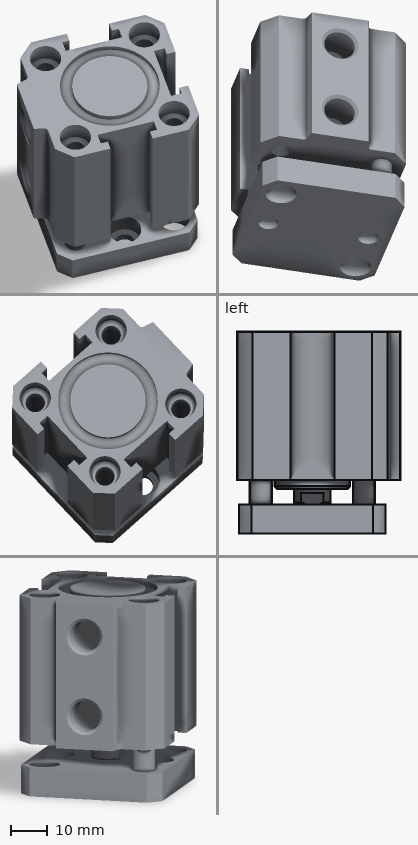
import cadquery as cq
import math

total_height = 55.0
plate_thickness = 8.0
housing_bottom = 14.6
housing_height = total_height - housing_bottom
corner_hole_offset = 14.0

housing_width = 41.0
housing_half = housing_width / 2
housing_corner_chamfer = 4.25
overall_depth = 44.5
rib_front_y = housing_half - overall_depth
rib_face_width = 16.0
rib_flank_angle = 15.0
rib_root_radius = 1.0

slot_opening_width = 12.0
slot_inner_width = 16.0
slot_lip_thickness = 2.5
slot_depth = 5.5

mount_hole_diameter = 5.3
mount_counterbore_diameter = 8.5
mount_counterbore_depth = 5.5
port_diameter = 8.6
port_mouth_diameter = 10.2
port_depth = 10.0
port_spacing = 22.15
port_middle_z = housing_bottom + housing_height / 2

cover_recess_diameter = 27.1
cover_recess_depth = 1.5
collar_diameter = 20.5
boss_height = 2.5
boss_chamfer = 0.8
boss_bottom = housing_bottom - boss_height

plate_width = 40.0
plate_corner_chamfer = 3.4
plate_corner_hole_diameter = 8.5
side_hole_offset = 14.0
side_hole_diameter = 5.5
side_counterbore_diameter = 9.0
side_counterbore_depth = 5.7
guide_pin_diameter = 6.0
rod_diameter = 10.0
rod_end_chamfer = 0.5
rod_flats_width = 8.0
rod_flats_top = 11.0

pin_corners = [(-corner_hole_offset, corner_hole_offset), (corner_hole_offset, -corner_hole_offset)]
access_corners = [(-corner_hole_offset, -corner_hole_offset), (corner_hole_offset, corner_hole_offset)]


def cylinder(diameter, bottom, height, centres=((0, 0),)):
    """Upright cylinders of one size at the given XY centres."""
    return (
        cq.Workplane("XY", origin=(0, 0, bottom))
        .pushPoints(centres)
        .circle(diameter / 2)
        .extrude(height)
    )


def chamfered_square(width, chamfer, bottom, height):
    """Square block with its four upright edges chamfered."""
    return (
        cq.Workplane("XY", origin=(0, 0, bottom))
        .rect(width, width)
        .extrude(height)
        .edges("|Z")
        .chamfer(chamfer)
    )


def port_rib():
    """Tapered rib on the -Y face, with rounded roots where it leaves the housing."""
    angle = math.radians(rib_flank_angle)
    face_half = rib_face_width / 2
    face_y = -housing_half
    sharp_x = face_half + (face_y - rib_front_y) * math.tan(angle)
    arc_turn = math.pi / 2 - angle
    centre_x = sharp_x + rib_root_radius * math.tan(arc_turn / 2)
    centre_y = face_y - rib_root_radius

    def arc_point(direction):
        return (
            centre_x + rib_root_radius * math.cos(direction),
            centre_y + rib_root_radius * math.sin(direction),
        )

    arc_end = arc_point(math.pi - angle)
    arc_middle = arc_point(math.pi - angle - arc_turn / 2)
    half_rib = (
        cq.Workplane("XY", origin=(0, 0, housing_bottom))
        .moveTo(0, 0)
        .lineTo(0, rib_front_y)
        .lineTo(face_half, rib_front_y)
        .lineTo(*arc_end)
        .threePointArc(arc_middle, (centre_x, face_y))
        .lineTo(centre_x, 0)
        .close()
        .extrude(housing_height)
    )
    return half_rib.union(half_rib.mirror("YZ"))


def t_slot():
    """Full-height cutter for the T-slot on the +Y side."""
    slot_floor = housing_half - slot_depth
    inner_depth = slot_depth - slot_lip_thickness
    base = cq.Workplane("XY", origin=(0, slot_floor, housing_bottom))
    opening = base.rect(slot_opening_width, 2 * slot_depth).extrude(housing_height)
    inner = base.rect(slot_inner_width, 2 * inner_depth).extrude(housing_height)
    inward_half = (
        base.center(0, -slot_depth)
        .rect(housing_width, 2 * slot_depth)
        .extrude(housing_height)
    )
    return opening.union(inner).cut(inward_half)


def port(z):
    """Cutter for a port with a 45-degree countersunk mouth in the rib face."""
    mouth_depth = (port_mouth_diameter - port_diameter) / 2
    return (
        cq.Workplane("XY")
        .moveTo(0, 0)
        .lineTo(port_mouth_diameter / 2, 0)
        .lineTo(port_diameter / 2, mouth_depth)
        .lineTo(port_diameter / 2, port_depth)
        .lineTo(0, port_depth)
        .close()
        .revolve(360, (0, 0, 0), (0, 1, 0))
        .translate((0, rib_front_y, z))
    )


def make_housing():
    """Cylinder housing with port rib, T-slots, mounting holes, head cover and boss."""
    body = chamfered_square(housing_width, housing_corner_chamfer, housing_bottom, housing_height)
    body = body.union(port_rib())

    for turn in (0, 90, -90):
        body = body.cut(t_slot().rotate((0, 0, 0), (0, 0, 1), turn))

    corners = pin_corners + access_corners
    body = body.cut(cylinder(mount_hole_diameter, housing_bottom, housing_height, corners))
    counterbore_floor = total_height - mount_counterbore_depth
    body = body.cut(
        cylinder(mount_counterbore_diameter, counterbore_floor, mount_counterbore_depth, corners)
    )

    for side in (-1, 1):
        body = body.cut(port(port_middle_z + side * port_spacing / 2))

    recess_floor = total_height - cover_recess_depth
    recess = cylinder(cover_recess_diameter, recess_floor, cover_recess_depth)
    cover = cylinder(collar_diameter, recess_floor, cover_recess_depth)
    body = body.cut(recess.cut(cover))

    boss = cylinder(collar_diameter, boss_bottom, boss_height).faces("<Z").chamfer(boss_chamfer)
    return body.union(boss)


def make_rod():
    """Piston rod end between plate and boss, with two wrench flats and a chamfered tip."""
    rod = cylinder(rod_diameter, plate_thickness, boss_bottom - plate_thickness)
    rod = rod.faces("<Z").chamfer(rod_end_chamfer)
    flats_height = rod_flats_top - plate_thickness
    flats_base = cq.Workplane("XY", origin=(0, 0, plate_thickness))
    outside_flats = (
        flats_base.rect(2 * rod_diameter, 2 * rod_diameter)
        .rect(rod_flats_width, 2 * rod_diameter)
        .extrude(flats_height)
    )
    return rod.cut(outside_flats)


def make_plate_assembly():
    """End plate carrying the piston rod and both guide pins, as one moving body."""
    plate = chamfered_square(plate_width, plate_corner_chamfer, 0, plate_thickness)
    plate = plate.cut(cylinder(plate_corner_hole_diameter, 0, plate_thickness, access_corners))

    side_centres = [(-side_hole_offset, 0), (side_hole_offset, 0)]
    plate = plate.cut(cylinder(side_hole_diameter, 0, plate_thickness, side_centres))
    counterbore_floor = plate_thickness - side_counterbore_depth
    plate = plate.cut(
        cylinder(side_counterbore_diameter, counterbore_floor, side_counterbore_depth, side_centres)
    )

    pin_length = housing_bottom - plate_thickness
    plate = plate.union(cylinder(guide_pin_diameter, plate_thickness, pin_length, pin_corners))
    return plate.union(make_rod())


housing = make_housing()
plate_assembly = make_plate_assembly()
result = cq.Compound.makeCompound([housing.solids().val(), plate_assembly.solids().val()])